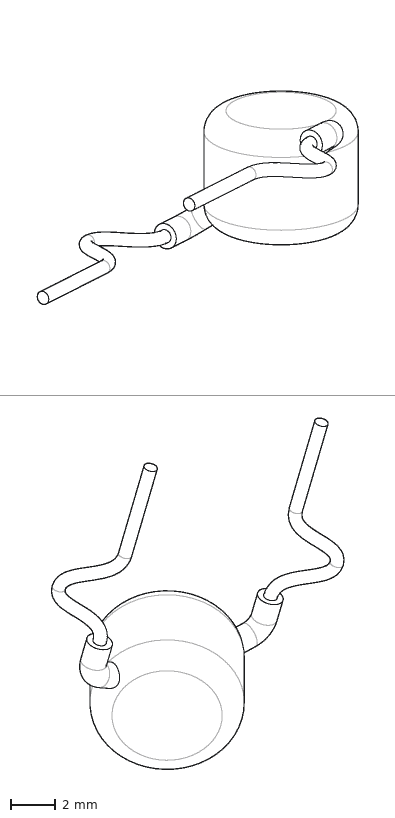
import cadquery as cq
import math

OVERALL_LENGTH = 17.0

CASE_DIAMETER = 7.0
CASE_HEIGHT = 5.5
CASE_ROUNDING = 1.0
CASE_RADIUS = CASE_DIAMETER / 2

LEAD_SPACING_X = 7.95
LEAD_SPACING_Z = 6.07
LEAD_X = LEAD_SPACING_X / 2
LEAD_Z = LEAD_SPACING_Z / 2

SLEEVE_DIAMETER = 1.2
SLEEVE_BEND_RADIUS = 0.9
SLEEVE_CORNER_Y = -1.67
SLEEVE_END_Y = -CASE_RADIUS

WIRE_DIAMETER = 0.63
KINK_REACH = 2.5
KINK_HALF_LENGTH = 2.5
KINK_END_HANDLE = 1.6
KINK_APEX_HANDLE = 1.2
TAIL_END_Y = CASE_RADIUS - OVERALL_LENGTH
KINK_APEX_Y = SLEEVE_END_Y - KINK_HALF_LENGTH
KINK_END_Y = KINK_APEX_Y - KINK_HALF_LENGTH

SIDES = (-1, 1)
ALONG_LEAD = cq.Vector(0, -1, 0)


def swept_rod(edges, start_direction, diameter):
    """Round rod of the given diameter along a smooth chain of edges."""
    path = cq.Wire.assembleEdges(edges)
    start_plane = cq.Plane(origin=path.startPoint(), normal=start_direction)
    return cq.Workplane(start_plane).circle(diameter / 2).sweep(path)


def make_sleeve(side):
    """Rod from the case centre out to the corner, then round a bend to run along -Y."""
    corner = cq.Vector(side * LEAD_X, SLEEVE_CORNER_Y, side * LEAD_Z)
    outward = corner.normalized()
    turn = outward.getAngle(ALONG_LEAD)
    setback = SLEEVE_BEND_RADIUS * math.tan(turn / 2)
    bend_start = corner - outward * setback
    bend_end = corner + ALONG_LEAD * setback

    toward_centre = (ALONG_LEAD - outward).normalized()
    corner_gap = SLEEVE_BEND_RADIUS * (1 / math.cos(turn / 2) - 1)
    bend_middle = corner + toward_centre * corner_gap

    centre = cq.Vector(0, 0, 0)
    sleeve_end = cq.Vector(corner.x, SLEEVE_END_Y, corner.z)
    edges = [
        cq.Edge.makeLine(centre, bend_start),
        cq.Edge.makeThreePointArc(bend_start, bend_middle, bend_end),
        cq.Edge.makeLine(bend_end, sleeve_end),
    ]
    return swept_rod(edges, outward, SLEEVE_DIAMETER)


def make_housing():
    """Rounded case and its two sleeves as a single coating."""
    housing = cq.Workplane("XY").cylinder(CASE_HEIGHT, CASE_RADIUS)
    housing = housing.edges("%CIRCLE").fillet(CASE_ROUNDING)
    for side in SIDES:
        housing = housing.union(make_sleeve(side))
    return housing


def kink_half(start, start_handle, end, end_handle):
    """S-shaped curve that starts and ends parallel to Y."""
    leave = start + ALONG_LEAD * start_handle
    arrive = end - ALONG_LEAD * end_handle
    return cq.Edge.makeBezier([start, leave, arrive, end])


def make_lead(side):
    """Wire that starts on the sleeve's end face, kinks outward and ends in a straight tail."""
    x = side * LEAD_X
    z = side * LEAD_Z
    start = cq.Vector(x, SLEEVE_END_Y, z)
    apex = cq.Vector(x + side * KINK_REACH, KINK_APEX_Y, z)
    kink_end = cq.Vector(x, KINK_END_Y, z)
    tail_end = cq.Vector(x, TAIL_END_Y, z)
    edges = [
        kink_half(start, KINK_END_HANDLE, apex, KINK_APEX_HANDLE),
        kink_half(apex, KINK_APEX_HANDLE, kink_end, KINK_END_HANDLE),
        cq.Edge.makeLine(kink_end, tail_end),
    ]
    return swept_rod(edges, ALONG_LEAD, WIRE_DIAMETER)


housing = make_housing()
leads = [make_lead(side).val() for side in SIDES]

result = cq.Compound.makeCompound([housing.val(), *leads])